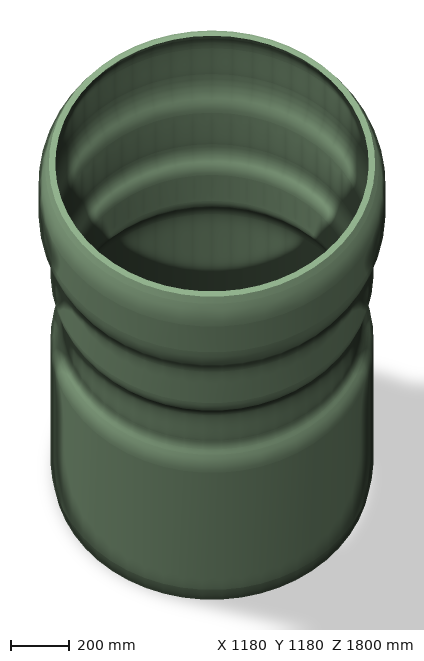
import cadquery as cq
import math

total_height = 1800.0
bulge_radius = 1180.0 / 2
body_radius = 1100.0 / 2
neck_radius = 1020.0 / 2
wall = 20.0

taper_height = 70.0
taper_depth = 9.0

lower_shoulder_start = 758.0
lower_shoulder_round = 77.0
lower_shoulder_fillet = 38.0
lower_shoulder_tilt = math.radians(29)

upper_shoulder_start = 1042.0
upper_shoulder_fillet = 45.0
upper_shoulder_round = 81.0

bulge_start = 1352.0
bulge_fillet = 55.0
bulge_round = 115.0
bulge_cylinder_end = 1674.0
lip_start = 1775.0
lip_tilt = math.radians(26)


def s_curve_tilt(rise, height):
    """Steepest wall tilt of two tangent arcs that join parallel walls."""
    return 2 * math.atan(rise / height)


def add_arc(outline, start, start_tilt, end_z, end_tilt, inset):
    """Add an arc, inset from the outer surface; return its end on the outer surface.

    A tilt is the elevation of the outward normal. A concave arc has a negative radius.
    """
    radius = (end_z - start[1]) / (math.sin(end_tilt) - math.sin(start_tilt))
    center_r = start[0] - radius * math.cos(start_tilt)
    center_z = start[1] - radius * math.sin(start_tilt)

    def point(tilt, arc_radius):
        return (center_r + arc_radius * math.cos(tilt), center_z + arc_radius * math.sin(tilt))

    inset_radius = radius - inset
    middle = point((start_tilt + end_tilt) / 2, inset_radius)
    return outline.threePointArc(middle, point(end_tilt, inset_radius)), point(end_tilt, radius)


def revolved_body(inset, taper):
    """Solid of revolution whose side lies an inset below the outer surface."""
    outline = cq.Workplane("XZ").lineTo(body_radius - inset - taper, 0)
    outline = outline.lineTo(body_radius - inset, taper_height)
    outline = outline.lineTo(body_radius - inset, lower_shoulder_start)

    tilt = lower_shoulder_tilt
    round_end_z = lower_shoulder_start + lower_shoulder_round
    outline, round_end = add_arc(
        outline, (body_radius, lower_shoulder_start), 0, round_end_z, tilt, inset
    )
    arc_drop = (lower_shoulder_round + lower_shoulder_fillet) * math.tan(tilt / 2)
    cone_drop = body_radius - neck_radius - arc_drop
    cone_end = (round_end[0] - cone_drop, round_end[1] + cone_drop / math.tan(tilt))
    outline = outline.lineTo(
        cone_end[0] - inset * math.cos(tilt), cone_end[1] - inset * math.sin(tilt)
    )
    outline, _ = add_arc(
        outline, cone_end, tilt, cone_end[1] + lower_shoulder_fillet, 0, inset
    )

    steps = [
        (neck_radius, body_radius, upper_shoulder_start, upper_shoulder_fillet, upper_shoulder_round),
        (body_radius, bulge_radius, bulge_start, bulge_fillet, bulge_round),
    ]
    for small_radius, large_radius, start_z, fillet_height, round_height in steps:
        tilt = -s_curve_tilt(large_radius - small_radius, fillet_height + round_height)
        outline = outline.lineTo(small_radius - inset, start_z)
        fillet_end_z = start_z + fillet_height
        outline, fillet_end = add_arc(outline, (small_radius, start_z), 0, fillet_end_z, tilt, inset)
        outline, _ = add_arc(outline, fillet_end, tilt, fillet_end_z + round_height, 0, inset)

    outline = outline.lineTo(bulge_radius - inset, bulge_cylinder_end)
    outline, lip_base = add_arc(
        outline, (bulge_radius, bulge_cylinder_end), 0, lip_start, lip_tilt, inset
    )
    lip_radius = lip_base[0] - (total_height - lip_start) * math.tan(lip_tilt)
    outline = outline.lineTo(lip_radius - inset / math.cos(lip_tilt), total_height)
    outline = outline.lineTo(0, total_height).close()
    return outline.revolve(360, (0, 0, 0), (0, 1, 0))


outer_body = revolved_body(inset=0, taper=taper_depth)
bore = revolved_body(inset=wall, taper=0)
result = outer_body.cut(bore)